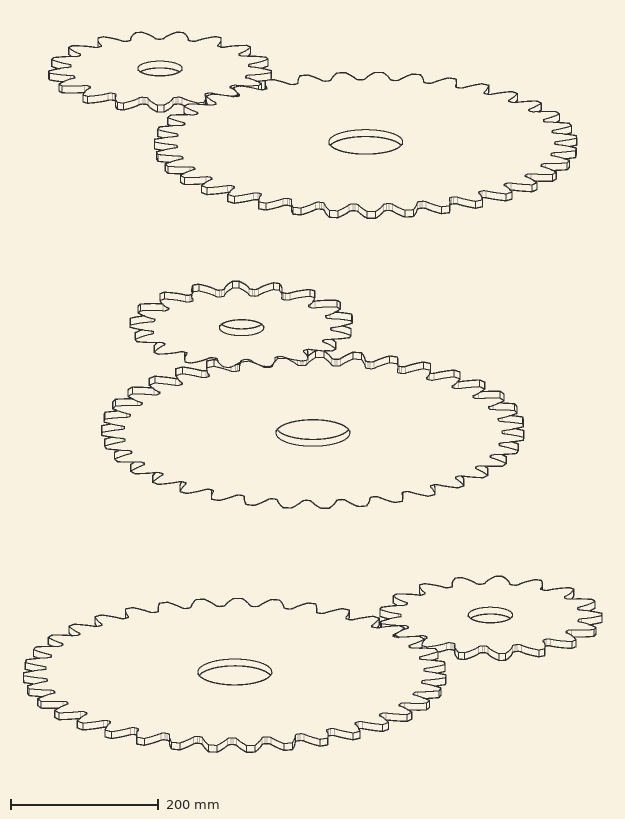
import cadquery as cq
import math

MODULE = 15.0
PRESSURE_ANGLE = math.radians(20.0)
PROFILE_SHIFT = 0.8 * MODULE
DEDENDUM = 1.25 * MODULE
TIP_CLEARANCE = 0.25 * MODULE
ROOT_FILLET = 5.0
THICKNESS = 10.0
FLANK_POINTS = 8
NEWTON_STEPS = 20

PINION_TEETH = 17
PINION_BORE = 60.0
WHEEL_TEETH = 35
WHEEL_BORE = 100.0


def involute(angle):
    """Involute function: polar angle unrolled at the given pressure angle."""
    return math.tan(angle) - angle


def pitch_radius(teeth):
    return MODULE * teeth / 2


def root_radius(teeth):
    return pitch_radius(teeth) + PROFILE_SHIFT - DEDENDUM


def working_pressure_angle():
    """Pressure angle at which the shifted gears mesh without backlash, by Newton's method."""
    target = involute(PRESSURE_ANGLE)
    target += 4 * PROFILE_SHIFT * math.tan(PRESSURE_ANGLE) / (MODULE * (PINION_TEETH + WHEEL_TEETH))
    angle = PRESSURE_ANGLE
    for _ in range(NEWTON_STEPS):
        angle -= (involute(angle) - target) / math.tan(angle) ** 2
    return angle


REFERENCE_DISTANCE = pitch_radius(PINION_TEETH) + pitch_radius(WHEEL_TEETH)
CENTRE_DISTANCE = REFERENCE_DISTANCE * math.cos(PRESSURE_ANGLE) / math.cos(working_pressure_angle())


def polar(radius, angle):
    return (radius * math.cos(angle), radius * math.sin(angle))


def make_gear(teeth, mating_teeth, bore):
    """Flat spur gear at the origin with one tooth centred on +X."""
    base_radius = pitch_radius(teeth) * math.cos(PRESSURE_ANGLE)
    root = root_radius(teeth)
    tip = CENTRE_DISTANCE - root_radius(mating_teeth) - TIP_CLEARANCE
    pitch_angle = 2 * math.pi / teeth
    tooth_width = MODULE * math.pi / 2 + 2 * PROFILE_SHIFT * math.tan(PRESSURE_ANGLE)
    half_tooth_at_base = tooth_width / (2 * pitch_radius(teeth)) + involute(PRESSURE_ANGLE)

    def half_tooth(radius):
        return half_tooth_at_base - involute(math.acos(base_radius / radius))

    radii = [root + (tip - root) * i / (FLANK_POINTS - 1) for i in range(FLANK_POINTS)]

    outline = cq.Workplane("XY").moveTo(*polar(root, -half_tooth(root)))
    for tooth in range(teeth):
        centre = tooth * pitch_angle
        rising = [polar(r, centre - half_tooth(r)) for r in radii]
        falling = [polar(r, centre + half_tooth(r)) for r in reversed(radii)]
        next_start = polar(root, centre + pitch_angle - half_tooth(root))
        outline = outline.spline(rising[1:], includeCurrent=True)
        outline = outline.threePointArc(polar(tip, centre), falling[0])
        outline = outline.spline(falling[1:], includeCurrent=True)
        outline = outline.threePointArc(polar(root, centre + pitch_angle / 2), next_start)
    gear = outline.close().extrude(THICKNESS)

    mid_radius = (root + tip) / 2
    root_edges = [
        edge
        for edge in gear.edges("|Z").vals()
        if math.hypot(edge.Center().x, edge.Center().y) < mid_radius
    ]
    gear = gear.newObject(root_edges).fillet(ROOT_FILLET)

    return gear.faces(">Z").workplane(origin=(0, 0)).hole(bore)


pinion = make_gear(PINION_TEETH, WHEEL_TEETH, PINION_BORE)
wheel = make_gear(WHEEL_TEETH, PINION_TEETH, WHEEL_BORE).translate((CENTRE_DISTANCE, 0, 0))

result = cq.Compound.makeCompound([pinion.val(), wheel.val()])